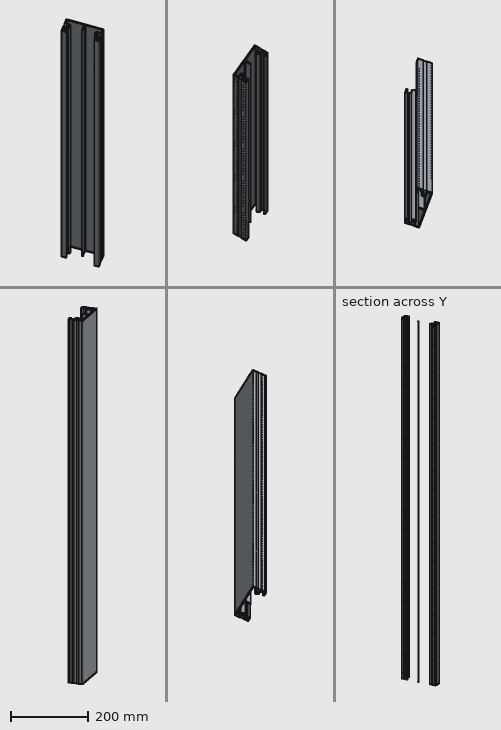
import cadquery as cq

length = 1000.0
width = 102.0
depth = 40.0
wall = 3.0
half_width = width / 2
back_y = depth / 2
front_y = -depth / 2

lip_reach = 13.0
lip_thickness = 4.0

rib_thickness = 3.0
rib_depth = 21.0
root_width = 6.0
root_depth = 2.0

back_corner_radius = 2.0
front_corner_radius = 1.0
tip_radius = 1.0

port_radius = 6.5
port_hole_radius = 3.0
port_slot = 3.0
port_x = half_width - 11.5
port_y = back_y - 19.5
pad_thickness = 6.0
pad_height = 18.0
neck_height = 8.0

groove_depth = 1.0
groove_width = 9.0
groove_y = back_y - 20.5


def bar(x_min, x_max, y_min, y_max):
    """Full-length rectangular bar between the given X and Y limits."""
    return (
        cq.Workplane("XY")
        .box(x_max - x_min, y_max - y_min, length, centered=False)
        .translate((x_min, y_min, -length / 2))
    )


def rod(x, y, radius):
    """Full-length round rod centred at the given X and Y."""
    return cq.Workplane("XY").center(x, y).circle(radius).extrude(length / 2, both=True)


def central_rib():
    root_y = back_y - wall
    rib_end_y = back_y - rib_depth
    rib = bar(-rib_thickness / 2, rib_thickness / 2, rib_end_y, root_y)
    root = bar(-root_width / 2, root_width / 2, root_y - root_depth, root_y)
    return rib.edges("|Z").edges("<Y").fillet(tip_radius).union(root)


def left_side():
    """Side wall, lip, pad and slotted screw port on the -X side."""
    side = bar(-half_width, -half_width + wall, front_y, back_y)
    lip = bar(-half_width, -half_width + lip_reach, front_y, front_y + lip_thickness)
    side = side.union(lip.edges("|Z").edges(">X").fillet(tip_radius))
    pad_bottom = groove_y - pad_height / 2
    side = side.union(bar(-half_width, -half_width + pad_thickness, pad_bottom, pad_bottom + pad_height))
    side = side.union(bar(-half_width, -port_x, port_y - neck_height / 2, port_y + neck_height / 2))
    side = side.union(rod(-port_x, port_y, port_radius))
    side = side.cut(rod(-port_x, port_y, port_hole_radius))
    slot = bar(-port_x - port_slot / 2, -port_x + port_slot / 2, port_y - port_radius, port_y)
    groove = bar(
        -half_width,
        -half_width + groove_depth,
        groove_y - groove_width / 2,
        groove_y + groove_width / 2,
    )
    return side.cut(slot).cut(groove)


def outer_corners(y):
    """Selector for the two long outer corner edges at the given Y."""
    reach = 0.1
    boxes = [
        cq.selectors.BoxSelector(
            (x - reach, y - reach, -length),
            (x + reach, y + reach, length),
        )
        for x in (-half_width, half_width)
    ]
    return boxes[0] + boxes[1]


back = bar(-half_width, half_width, back_y - wall, back_y)
left = left_side()
channel = back.union(central_rib()).union(left).union(left.mirror("YZ"))
channel = channel.edges("|Z").edges(outer_corners(back_y)).fillet(back_corner_radius)
result = channel.edges("|Z").edges(outer_corners(front_y)).fillet(front_corner_radius)